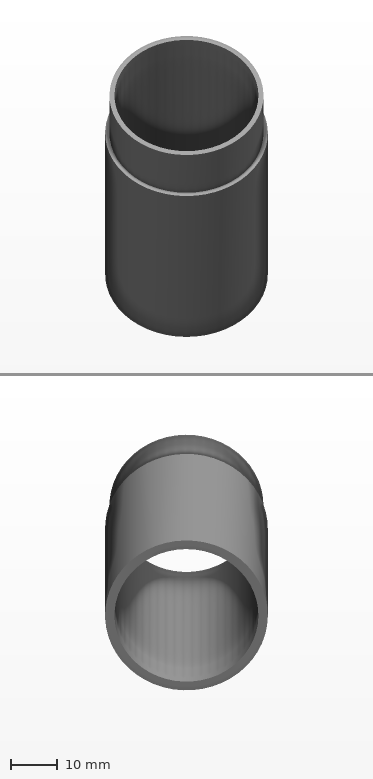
import cadquery as cq

total_length = 60.3
body_diameter = 34.95
bore_diameter = 30.9

neck_diameter = 33.05
neck_length = 12.7
body_length = total_length - neck_length

body = cq.Workplane("XY").circle(body_diameter / 2).extrude(body_length)
stepped_cylinder = body.faces(">Z").workplane().circle(neck_diameter / 2).extrude(neck_length)

bore = cq.Workplane("XY").circle(bore_diameter / 2).extrude(total_length)

result = stepped_cylinder.cut(bore)